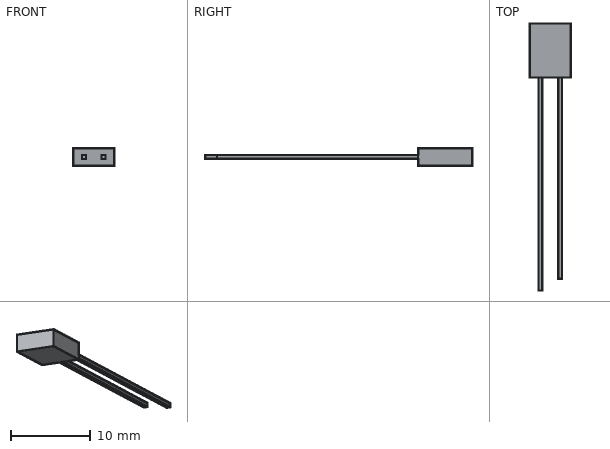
import cadquery as cq

total_length = 33.78

body_width = 5.25
body_length = 6.85
body_height = 2.23

lead_side = 0.5
lead_pitch = 2.5
long_lead_length = total_length - body_length
short_lead_length = long_lead_length - 1.5


def make_lead(x_center, length):
    """Square lead running from the body's front face (Y = 0) toward -Y."""
    return (
        cq.Workplane("XY")
        .box(lead_side, length, lead_side)
        .translate((x_center, -length / 2, 0))
    )


body = cq.Workplane("XY").box(body_width, body_length, body_height).translate((0, body_length / 2, 0))

long_lead = make_lead(-lead_pitch / 2, long_lead_length)
short_lead = make_lead(lead_pitch / 2, short_lead_length)

result = body.union(long_lead).union(short_lead)